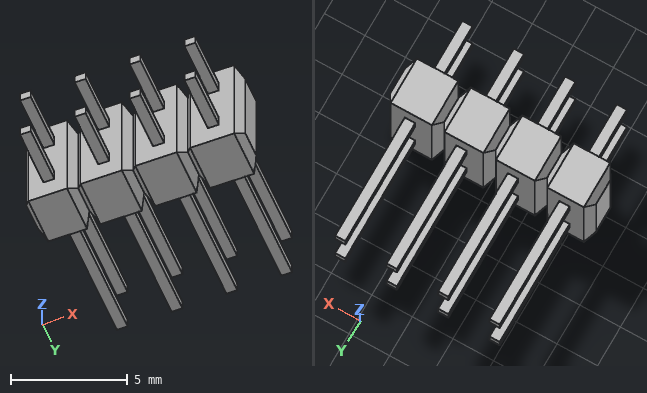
import cadquery as cq

columns = 4
rows = 2
length = 10.16
total_depth = 11.1
pitch = length / columns

body_depth = 2.3
body_height = rows * pitch
bevel_run = 0.31
bevel_inset = 0.51
notch_shift = 0.12

pin_width = 0.51
pin_front = 2.71


def tapered_end(base_x, tip_x):
    """Taper from the full housing section at base_x to the inset section at tip_x."""
    return (
        cq.Workplane("YZ", origin=(base_x, 0, 0))
        .rect(body_depth, body_height)
        .workplane(offset=tip_x - base_x)
        .rect(body_depth - 2 * bevel_inset, body_height - 2 * bevel_inset)
        .loft(ruled=True)
    )


def block(left, right):
    """One housing block, bevelled on all four sides at both of its X ends."""
    core_left = left + bevel_run
    core_right = right - bevel_run
    core = (
        cq.Workplane("XY")
        .box(core_right - core_left, body_depth, body_height)
        .translate(((core_left + core_right) / 2, 0, 0))
    )
    return core.union(tapered_end(core_left, left)).union(tapered_end(core_right, right))


def housing():
    """Row of blocks joined end to end at the notches."""
    notches = [(i - columns / 2) * pitch - notch_shift for i in range(1, columns)]
    borders = [-length / 2] + notches + [length / 2]
    body = cq.Workplane("XY")
    for left, right in zip(borders, borders[1:]):
        body = body.union(block(left, right))
    return body


def pins():
    """Grid of square pins running along Y, centred on the housing in X and Z."""
    return (
        cq.Workplane("XZ", origin=(0, -body_depth / 2 - pin_front, 0))
        .rarray(pitch, pitch, columns, rows)
        .rect(pin_width, pin_width)
        .extrude(-total_depth)
    )


result = housing().union(pins())